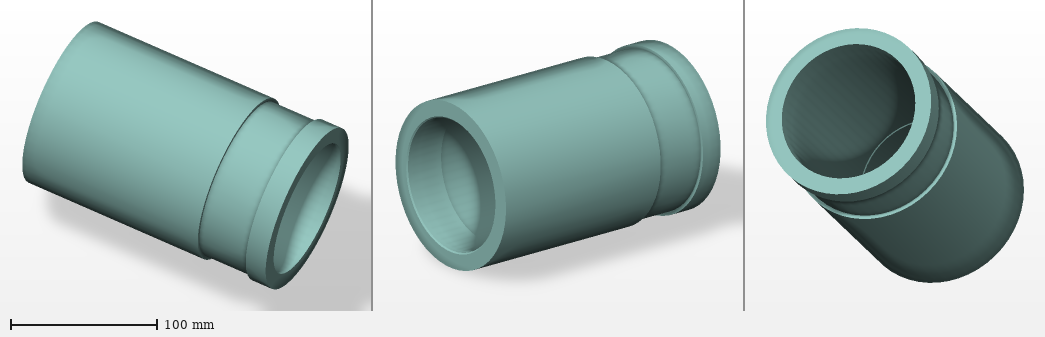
import cadquery as cq

length = 189.0
outer_diameter = 120.0
neck_diameter = 115.0
collar_width = 15.5
neck_width = 37.2

land_diameter = 95.0
land_length = 30.0
bore_diameter = 97.0
mouth_chamfer = 1.0

neck_end = length - collar_width
neck_start = neck_end - neck_width

outer_radius = outer_diameter / 2
neck_radius = neck_diameter / 2
land_radius = land_diameter / 2
bore_radius = bore_diameter / 2

wall_section = (
    cq.Workplane("XY")
    .moveTo(0, land_radius + mouth_chamfer)
    .lineTo(0, outer_radius)
    .lineTo(neck_start, outer_radius)
    .lineTo(neck_start, neck_radius)
    .lineTo(neck_end, neck_radius)
    .lineTo(neck_end, outer_radius)
    .lineTo(length, outer_radius)
    .lineTo(length, bore_radius)
    .lineTo(land_length, bore_radius)
    .lineTo(land_length, land_radius)
    .lineTo(mouth_chamfer, land_radius)
    .close()
)

result = wall_section.revolve(360, (0, 0, 0), (1, 0, 0))